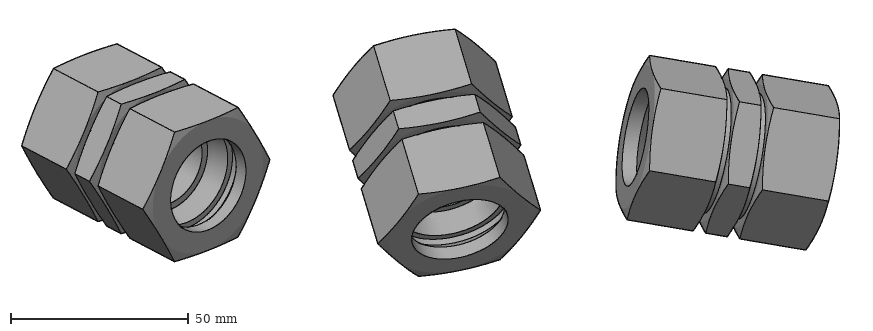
import cadquery as cq
import math


total_length = 54.0
nut_length = 21.0
body_hex_width = 8.0
nut_inner_x = total_length / 2 - nut_length

across_flats = 41.0
across_corners = across_flats / math.cos(math.radians(30))
corner_chamfer_angle = 15.0

collar_dia = 36.0
thread_dia = 33.85
tube_dia = 28.0
through_dia = 24.0
cone_mouth_dia = 30.3

body_half_length = 17.8
tube_stop_x = 10.4
seat_half_angle = 12.0
seat_depth = (cone_mouth_dia - tube_dia) / 2 / math.tan(math.radians(seat_half_angle))

nut_lip_length = 4.25
nut_cone_length = (thread_dia - tube_dia) / 2


def revolve_profile(points):
    """Turn (x, radius) points about the X axis."""
    return cq.Workplane("XY").polyline(points).close().revolve(360, (0, 0, 0), (1, 0, 0))


def chamfered_hex(length):
    """Hexagonal bar centred on the origin, with its corners bevelled conically at both ends."""
    half_length = length / 2
    flat_radius = across_flats / 2
    corner_radius = across_corners / 2
    bevel_length = (corner_radius - flat_radius) * math.tan(math.radians(corner_chamfer_angle))
    bar = cq.Workplane("YZ").polygon(6, across_corners).extrude(half_length, both=True)
    envelope = revolve_profile([
        (-half_length, 0),
        (-half_length, flat_radius),
        (-half_length + bevel_length, corner_radius),
        (half_length - bevel_length, corner_radius),
        (half_length, flat_radius),
        (half_length, 0),
    ])
    return bar.intersect(envelope)


def make_body():
    """Coupling body with a threaded neck at each end and a conical tube socket in each neck."""
    stem = revolve_profile([
        (-body_half_length, 0),
        (-body_half_length, thread_dia / 2),
        (-nut_inner_x, thread_dia / 2),
        (-nut_inner_x, collar_dia / 2),
        (nut_inner_x, collar_dia / 2),
        (nut_inner_x, thread_dia / 2),
        (body_half_length, thread_dia / 2),
        (body_half_length, 0),
    ])
    seat_x = body_half_length - seat_depth
    bore = revolve_profile([
        (-body_half_length, 0),
        (-body_half_length, cone_mouth_dia / 2),
        (-seat_x, tube_dia / 2),
        (-tube_stop_x, tube_dia / 2),
        (-tube_stop_x, through_dia / 2),
        (tube_stop_x, through_dia / 2),
        (tube_stop_x, tube_dia / 2),
        (seat_x, tube_dia / 2),
        (body_half_length, cone_mouth_dia / 2),
        (body_half_length, 0),
    ])
    return chamfered_hex(body_hex_width).union(stem).cut(bore)


def make_nut(side):
    """Union nut on the -X (side = -1) or +X (side = 1) end of the body."""
    outer_x = total_length / 2
    lip_x = outer_x - nut_lip_length
    thread_end_x = lip_x - nut_cone_length
    bore = revolve_profile([
        (side * outer_x, 0),
        (side * outer_x, tube_dia / 2),
        (side * lip_x, tube_dia / 2),
        (side * thread_end_x, thread_dia / 2),
        (side * nut_inner_x, thread_dia / 2),
        (side * nut_inner_x, 0),
    ])
    nut_center_x = side * (outer_x - nut_length / 2)
    return chamfered_hex(nut_length).translate((nut_center_x, 0, 0)).cut(bore)


body = make_body()
nuts = [make_nut(side) for side in (-1, 1)]

result = cq.Compound.makeCompound([body.solids().val(), *[nut.solids().val() for nut in nuts]])